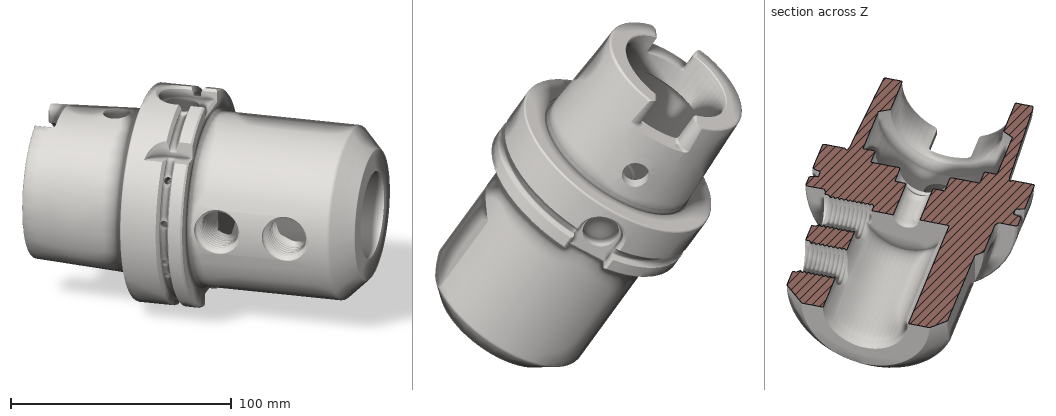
import cadquery as cq
import math

total_length = 155.0
taper_end = 47.7
root_flare_start = 48.7
flange_start = 50.0
flange_end = 79.2
body_start = 80.9

taper_small_radius = 35.3
taper_large_radius = 37.7
root_flare_radius = 38.1
flange_diameter = 100.0
flange_radius = flange_diameter / 2
neck_radius = 41.0
body_radius = 40.0
nose_radius = 30.0
taper_rim_fillet = 1.1
flange_front_fillet = 1.0
flange_rear_chamfer = 0.8
nose_blend_radius = 1.7
nose_tip_radius = 0.6

face_recess_radius = 39.0
face_recess_depth = 0.8

groove_center = 69.9
groove_floor_radius = 46.0
groove_shoulder_radius = 47.5
groove_mouth_width = 5.9
groove_shoulder_width = 3.5
groove_corner_chamfer = 0.5

cavity_radius = 26.5
cavity_mouth_radius = 27.0
cavity_throat_end = 19.8
recess_radius = 31.5
recess_cone_angle = 60.0
recess_end = 48.0
floor_pocket_radius = 25.5
cavity_depth = 55.8
socket_radius = 11.6
socket_mouth_radius = 12.4
socket_depth = 9.3
coolant_radius = 6.2
shank_bore_radius = 20.0
shank_bore_end = 87.1
cross_hole_radius = 6.2
cross_hole_x = 35.0

drive_slot_half_width = 9.9
drive_slot_flare_radius = 5.5
drive_slot_flare_start = 27.1
drive_slot_corner_radius = 1.4
drive_slot_edge_chamfer = 1.1
upper_drive_slot_depth = 9.9
lower_drive_slot_depth = 15.2

keyway_half_width = 10.0
keyway_center_x = 65.1
keyway_floor_z = 44.0
keyway_edge_chamfer = 1.2
keyway_rear_chamfer = 1.2
pocket_radius = 8.2
pocket_depth = 5.6

notch_floor_z = 31.5
notch_wall_y = -31.5
notch_start = 58.1
notch_corner_radius = 10.0

balance_hole_radius = 1.7
balance_hole_depth = 6.2
balance_hole_angles = (30, 5, -20, -30)

screw_positions = (93.0, 124.8)
thread_minor_radius = 9.1
thread_major_radius = 10.2
thread_pitch = 2.0
screw_mouth_radius = 10.7
screw_mouth_depth = 1.9

flat_y = 36.7
flat_start = 102.9

overshoot = 7.8
select_margin = 0.2


def revolve_about_x(profile):
    """Revolve an (x, radius) outline around the X axis."""
    return profile.close().revolve(360, (0, 0, 0), (1, 0, 0))


def x_cylinder(radius, start, end):
    """Solid cylinder on the X axis between two axial stations."""
    return cq.Workplane("YZ").workplane(offset=start).circle(radius).extrude(end - start)


def make_outer_body():
    """Taper, grooved flange and cylindrical body with a beveled nose."""
    nose_start = total_length - (body_radius - nose_radius)
    profile = (
        cq.Workplane("XY")
        .moveTo(0, 0)
        .lineTo(0, taper_small_radius - taper_rim_fillet)
        .radiusArc((taper_rim_fillet, taper_small_radius), taper_rim_fillet)
        .lineTo(taper_end, taper_large_radius)
        .lineTo(root_flare_start, taper_large_radius)
        .lineTo(flange_start, root_flare_radius)
        .lineTo(flange_start + face_recess_depth, root_flare_radius)
        .lineTo(flange_start + face_recess_depth, face_recess_radius)
        .lineTo(flange_start, face_recess_radius)
        .lineTo(flange_start, flange_radius - flange_front_fillet)
        .radiusArc((flange_start + flange_front_fillet, flange_radius), flange_front_fillet)
        .lineTo(groove_center - groove_mouth_width / 2, flange_radius)
        .lineTo(groove_center - groove_shoulder_width / 2, groove_shoulder_radius)
        .lineTo(groove_center - groove_shoulder_width / 2, groove_floor_radius + groove_corner_chamfer)
        .lineTo(groove_center - groove_shoulder_width / 2 + groove_corner_chamfer, groove_floor_radius)
        .lineTo(groove_center + groove_shoulder_width / 2, groove_floor_radius)
        .lineTo(groove_center + groove_shoulder_width / 2, groove_shoulder_radius)
        .lineTo(groove_center + groove_mouth_width / 2, flange_radius)
        .lineTo(flange_end - flange_rear_chamfer, flange_radius)
        .lineTo(flange_end, flange_radius - flange_rear_chamfer)
        .lineTo(flange_end, neck_radius)
        .lineTo(body_start, body_radius)
        .lineTo(nose_start, body_radius)
        .lineTo(total_length, nose_radius)
        .lineTo(total_length, 0)
    )
    body = revolve_about_x(profile).faces(">X").edges().fillet(nose_tip_radius)
    nose_corner = cq.selectors.BoxSelector(
        (nose_start - select_margin, -flange_radius, -flange_radius),
        (nose_start + select_margin, flange_radius, flange_radius),
    )
    return body.edges(nose_corner).edges("%CIRCLE").fillet(nose_blend_radius)


def make_axial_bores():
    """Hollow of the taper, coolant socket, coolant passage and shank bore as one revolved cutter."""
    mouth = cavity_mouth_radius - cavity_radius
    socket_mouth = socket_mouth_radius - socket_radius
    cone_length = (recess_radius - cavity_radius) / math.tan(math.radians(recess_cone_angle))
    socket_end = cavity_depth + socket_depth
    profile = (
        cq.Workplane("XY")
        .moveTo(0, 0)
        .lineTo(0, cavity_mouth_radius)
        .lineTo(mouth, cavity_radius)
        .lineTo(cavity_throat_end, cavity_radius)
        .lineTo(cavity_throat_end + cone_length, recess_radius)
        .lineTo(recess_end, recess_radius)
        .lineTo(recess_end, floor_pocket_radius)
        .lineTo(cavity_depth, floor_pocket_radius)
        .lineTo(cavity_depth, socket_mouth_radius)
        .lineTo(cavity_depth + socket_mouth, socket_radius)
        .lineTo(socket_end, socket_radius)
        .lineTo(socket_end, coolant_radius)
        .lineTo(shank_bore_end, coolant_radius)
        .lineTo(shank_bore_end, shank_bore_radius)
        .lineTo(total_length, shank_bore_radius)
        .lineTo(total_length, 0)
    )
    return revolve_about_x(profile)


def make_drive_slot(depth, side):
    """Slot across the taper rim whose walls flare outward in an arc; side is +1 up or -1 down."""
    flare = drive_slot_flare_radius
    half = drive_slot_half_width
    wide = half + flare
    flare_bottom = drive_slot_flare_start
    flare_top = flare_bottom + flare
    mid = flare * (1 - math.sqrt(0.5))
    z_mid = flare_bottom + flare * math.sqrt(0.5)
    top = flange_radius
    rim_half = half + drive_slot_edge_chamfer
    rim = (
        cq.Workplane("XY")
        .moveTo(0, -rim_half)
        .lineTo(drive_slot_edge_chamfer, -half)
        .lineTo(drive_slot_edge_chamfer, half)
        .lineTo(0, rim_half)
        .close()
        .extrude(flare_top)
    )
    slot = (
        cq.Workplane("YZ")
        .moveTo(-half, 0)
        .lineTo(-half, flare_bottom)
        .threePointArc((-half - mid, z_mid), (-wide, flare_top))
        .lineTo(-wide - flare, flare_top)
        .lineTo(-wide - flare, top)
        .lineTo(wide + flare, top)
        .lineTo(wide + flare, flare_top)
        .lineTo(wide, flare_top)
        .threePointArc((half + mid, z_mid), (half, flare_bottom))
        .lineTo(half, 0)
        .close()
        .extrude(depth)
    )
    wall_edges = cq.selectors.BoxSelector(
        (depth - select_margin, -wide - select_margin, select_margin),
        (depth + select_margin, wide + select_margin, flare_top + select_margin),
    )
    slot = slot.faces(">X").edges().edges(wall_edges).fillet(drive_slot_corner_radius)
    slot = slot.union(rim)
    if side < 0:
        slot = slot.mirror("XY")
    return slot


def make_keyway(side):
    """Round-ended flange keyway with chamfered edges and a round pocket in its floor."""
    rear = flange_end + overshoot
    height = flange_radius + overshoot - keyway_floor_z
    floor = cq.Workplane("XY").workplane(offset=keyway_floor_z)
    slot = (
        floor.moveTo(rear, -keyway_half_width)
        .lineTo(keyway_center_x, -keyway_half_width)
        .threePointArc((keyway_center_x - keyway_half_width, 0), (keyway_center_x, keyway_half_width))
        .lineTo(rear, keyway_half_width)
        .close()
        .extrude(height)
    )
    blank = x_cylinder(flange_radius, flange_start, rear)
    reach = keyway_half_width + select_margin
    on_rim = cq.selectors.BoxSelector(
        (keyway_center_x - reach, -reach, keyway_floor_z + select_margin),
        (rear - select_margin, reach, flange_radius + select_margin),
    )
    chamfered = blank.cut(slot).edges(on_rim).chamfer(keyway_edge_chamfer)
    keyway = blank.cut(chamfered)

    pocket = (
        cq.Workplane("XY")
        .workplane(offset=keyway_floor_z - pocket_depth)
        .center(keyway_center_x, 0)
        .circle(pocket_radius)
        .extrude(pocket_depth)
    )
    rear_chamfer = (
        cq.Workplane("XZ")
        .workplane(offset=-keyway_half_width)
        .moveTo(flange_end, keyway_floor_z)
        .lineTo(flange_end - keyway_rear_chamfer, keyway_floor_z)
        .lineTo(flange_end, keyway_floor_z - keyway_rear_chamfer)
        .close()
        .extrude(2 * keyway_half_width)
    )
    keyway = keyway.union(pocket).union(rear_chamfer)
    if side < 0:
        keyway = keyway.mirror("XY")
    return keyway


def make_orientation_notch():
    """Square-shouldered notch through the rear of the flange with one rounded inner corner."""
    length = flange_end + overshoot - notch_start
    width = flange_radius + notch_wall_y
    return (
        cq.Workplane("XY")
        .box(length, width, flange_radius - notch_floor_z, centered=False)
        .edges("|Z and <X and >Y")
        .fillet(notch_corner_radius)
        .translate((notch_start, -flange_radius, notch_floor_z))
    )


def make_balance_hole(angle):
    """Radial hole in the groove floor, at an angle from -Y toward +Z."""
    bottom = groove_floor_radius - balance_hole_depth
    hole = (
        cq.Workplane("XZ")
        .workplane(offset=bottom)
        .center(groove_center, 0)
        .circle(balance_hole_radius)
        .extrude(flange_radius - bottom)
    )
    return hole.rotate((0, 0, 0), (1, 0, 0), -angle)


def make_screw_hole(x):
    """Radial hole from -Y with ring-shaped thread grooves, opening into the shank bore."""
    mouth_floor = body_radius - screw_mouth_depth
    thread_start = mouth_floor - (screw_mouth_radius - thread_minor_radius)
    turns = math.ceil((thread_start - shank_bore_radius) / thread_pitch) + 1
    profile = (
        cq.Workplane("XY")
        .moveTo(0, -flange_radius)
        .lineTo(screw_mouth_radius, -flange_radius)
        .lineTo(screw_mouth_radius, -mouth_floor)
        .lineTo(thread_minor_radius, -thread_start)
    )
    for turn in range(turns):
        turn_start = thread_start - turn * thread_pitch
        profile = profile.lineTo(thread_major_radius, -(turn_start - thread_pitch / 2))
        profile = profile.lineTo(thread_minor_radius, -(turn_start - thread_pitch))
    profile = profile.lineTo(0, -(thread_start - turns * thread_pitch))
    return profile.close().revolve(360, (0, 0, 0), (0, 1, 0)).translate((x, 0, 0))


def make_side_flat():
    """Flat running out at the nose, with a 45 degree ramp at its inner end."""
    rise = body_radius - flat_y
    return (
        cq.Workplane("XY")
        .workplane(offset=-body_radius)
        .moveTo(flat_start, flat_y)
        .lineTo(total_length, flat_y)
        .lineTo(total_length, flat_y + 2 * rise)
        .lineTo(flat_start - 2 * rise, flat_y + 2 * rise)
        .close()
        .extrude(2 * body_radius)
    )


def make_cross_hole():
    """Hole through both walls of the hollow taper along Z."""
    return (
        cq.Workplane("XY")
        .workplane(offset=-flange_radius)
        .center(cross_hole_x, 0)
        .circle(cross_hole_radius)
        .extrude(2 * flange_radius)
    )


result = make_outer_body().cut(make_axial_bores())
result = result.cut(make_drive_slot(upper_drive_slot_depth, 1))
result = result.cut(make_drive_slot(lower_drive_slot_depth, -1))
result = result.cut(make_cross_hole())
for side in (1, -1):
    result = result.cut(make_keyway(side))
result = result.cut(make_orientation_notch())
for angle in balance_hole_angles:
    result = result.cut(make_balance_hole(angle))
for screw_x in screw_positions:
    result = result.cut(make_screw_hole(screw_x))
result = result.cut(make_side_flat())